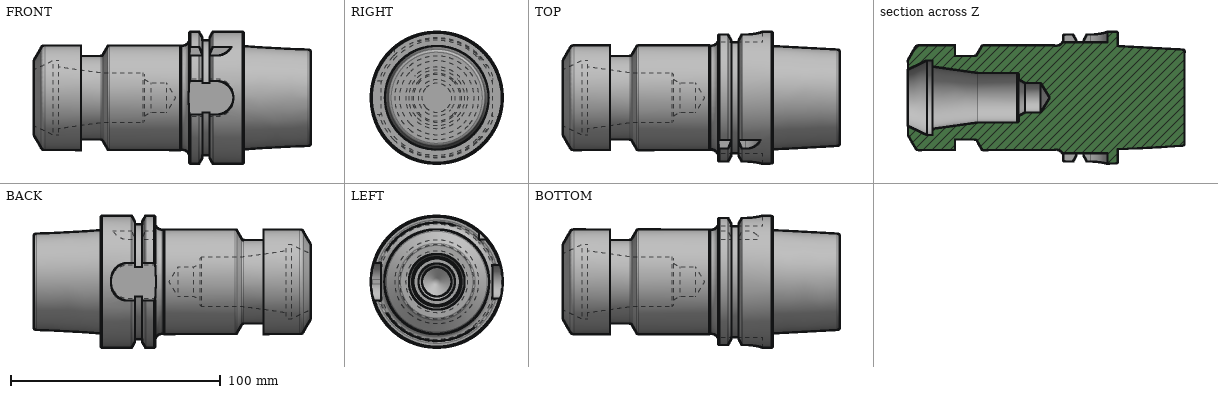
import cadquery as cq
import math


TOTAL_LENGTH = 132.0
BODY_RADIUS = 50.0 / 2
BEVEL_RUN_PER_RISE = math.tan(math.radians(30))

NUT_FACE_RADIUS = 17.8
NUT_LENGTH = 22.6
NUT_BLEND = 2.0

NECK_RADIUS = 40.0 / 2
NECK_END = 32.6
NECK_BLEND = 1.0

FLANGE_RADIUS = 63.0 / 2
FLANGE_START = 74.0
FLANGE_END = 100.0
FLANGE_CHAMFER = 0.5
FLANGE_INNER_BLEND = 3.3

RELIEF_DEPTH = 0.1
RELIEF_LENGTH = 1.2
RELIEF_RAMP = 0.4

GROOVE_FLOOR_RADIUS = 27.5
GROOVE_WALL_RADIUS = 28.6
GROOVE_START = 80.4
GROOVE_END = 83.7
GROOVE_EDGE_BLEND = 0.4

SHANK_RADIUS = 24.7
SHANK_END_RADIUS = 23.0
SHANK_BLEND = 1.3

MOUTH_RADIUS = 13.3
NUT_CAVITY_RADIUS = 17.7
NUT_CONE_LENGTH = 9.1
SEAT_FACE = 11.7
SEAT_RADIUS = 14.8
SEAT_SLOPE = math.tan(math.radians(8))
BORE_RADIUS = 23.5 / 2
BORE_END = 52.8
BORE_END_CHAMFER = 0.7

DRILL_RADIUS = 14.0 / 2
DRILL_DEPTH = 10.5
DRILL_POINT_SLOPE = math.tan(math.radians(59))
COUNTERSINK_RADIUS = 8.7
COUNTERSINK_SLOPE = math.tan(math.radians(30))

CUTTER_RADIUS = 16.0 / 2
CUTTER_STOP = 87.1
SLOT_FLOOR = 26.5
WIDE_SLOT_WIDTH = 18.0
NOTCH_OFFSET = 20.0
SLOT_START = 59.4
CUT_REACH = 39.6


def revolve(profile):
    """Close a half profile and turn it once around the X axis."""
    return profile.close().revolve(360, (0, 0, 0), (1, 0, 0))


def turned_section(points):
    """Solid of revolution of a straight-sided outline that starts and ends on the axis."""
    return revolve(cq.Workplane("XY").polyline(points))


def circle_edges(solid, x, radius):
    """Circular edges of the given radius centred on the axis at x."""
    size = 0.01
    box = cq.selectors.BoxSelector(
        (x - size, -radius - size, -radius - size),
        (x + size, radius + size, radius + size),
    )
    ring_edges = [e for e in solid.edges(box).vals() if abs(e.radius() - radius) < size]
    return solid.newObject(ring_edges)


def make_nut():
    bevel_end = (BODY_RADIUS - NUT_FACE_RADIUS) * BEVEL_RUN_PER_RISE
    nut = turned_section([
        (0, 0),
        (0, NUT_FACE_RADIUS),
        (bevel_end, BODY_RADIUS),
        (NUT_LENGTH, BODY_RADIUS),
        (NUT_LENGTH, 0),
    ])
    nut = circle_edges(nut, 0, NUT_FACE_RADIUS).fillet(NUT_BLEND)
    return circle_edges(nut, bevel_end, BODY_RADIUS).fillet(NUT_BLEND)


def make_body():
    bevel_end = NECK_END + (BODY_RADIUS - NECK_RADIUS) * BEVEL_RUN_PER_RISE
    relief_radius = BODY_RADIUS - RELIEF_DEPTH
    relief_face = FLANGE_START + RELIEF_DEPTH
    blend_start = relief_face - FLANGE_INNER_BLEND
    relief_start = blend_start - RELIEF_LENGTH
    blend_outer = relief_radius + FLANGE_INNER_BLEND
    groove_run = (FLANGE_RADIUS - GROOVE_WALL_RADIUS) * BEVEL_RUN_PER_RISE
    chamfer_radius = FLANGE_RADIUS - FLANGE_CHAMFER
    arc_shift = FLANGE_INNER_BLEND * math.sin(math.radians(45))

    profile = (
        cq.Workplane("XY")
        .moveTo(NUT_LENGTH, 0)
        .lineTo(NUT_LENGTH, NECK_RADIUS)
        .lineTo(NECK_END, NECK_RADIUS)
        .lineTo(bevel_end, BODY_RADIUS)
        .lineTo(relief_start, BODY_RADIUS)
        .lineTo(relief_start + RELIEF_RAMP, relief_radius)
        .lineTo(blend_start, relief_radius)
        .threePointArc(
            (blend_start + arc_shift, blend_outer - arc_shift),
            (relief_face, blend_outer),
        )
        .lineTo(FLANGE_START, blend_outer + RELIEF_LENGTH)
        .lineTo(FLANGE_START, chamfer_radius)
        .lineTo(FLANGE_START + FLANGE_CHAMFER, FLANGE_RADIUS)
        .lineTo(GROOVE_START - groove_run, FLANGE_RADIUS)
        .lineTo(GROOVE_START, GROOVE_WALL_RADIUS)
        .lineTo(GROOVE_START, GROOVE_FLOOR_RADIUS)
        .lineTo(GROOVE_END, GROOVE_FLOOR_RADIUS)
        .lineTo(GROOVE_END, GROOVE_WALL_RADIUS)
        .lineTo(GROOVE_END + groove_run, FLANGE_RADIUS)
        .lineTo(FLANGE_END - FLANGE_CHAMFER, FLANGE_RADIUS)
        .lineTo(FLANGE_END, chamfer_radius)
        .lineTo(FLANGE_END, 0)
    )
    body = revolve(profile)
    for x, radius in ((NECK_END, NECK_RADIUS), (bevel_end, BODY_RADIUS)):
        body = circle_edges(body, x, radius).fillet(NECK_BLEND)
    for x in (GROOVE_START - groove_run, GROOVE_END + groove_run):
        body = circle_edges(body, x, FLANGE_RADIUS).fillet(GROOVE_EDGE_BLEND)
    return body


def make_shank():
    shank = turned_section([
        (FLANGE_END, 0),
        (FLANGE_END, SHANK_RADIUS),
        (TOTAL_LENGTH, SHANK_END_RADIUS),
        (TOTAL_LENGTH, 0),
    ])
    return circle_edges(shank, TOTAL_LENGTH, SHANK_END_RADIUS).fillet(SHANK_BLEND)


def make_bore():
    seat_end = SEAT_FACE + (SEAT_RADIUS - BORE_RADIUS) / SEAT_SLOPE
    countersink_end = BORE_END + (COUNTERSINK_RADIUS - DRILL_RADIUS) / COUNTERSINK_SLOPE
    drill_end = BORE_END + DRILL_DEPTH
    return turned_section([
        (0, 0),
        (0, MOUTH_RADIUS),
        (NUT_CONE_LENGTH, NUT_CAVITY_RADIUS),
        (SEAT_FACE, NUT_CAVITY_RADIUS),
        (SEAT_FACE, SEAT_RADIUS),
        (seat_end, BORE_RADIUS),
        (BORE_END - BORE_END_CHAMFER, BORE_RADIUS),
        (BORE_END, BORE_RADIUS - BORE_END_CHAMFER),
        (BORE_END, COUNTERSINK_RADIUS),
        (countersink_end, DRILL_RADIUS),
        (drill_end, DRILL_RADIUS),
        (drill_end + DRILL_RADIUS / DRILL_POINT_SLOPE, 0),
    ])


def make_narrow_slot():
    """Flat-floored drive slot on the -Y side, one cutter wide with a half-round end."""
    length = CUTTER_STOP + CUTTER_RADIUS - SLOT_START
    return (
        cq.Workplane("XZ", origin=(0, -SLOT_FLOOR, 0))
        .center(SLOT_START + length / 2, 0)
        .slot2D(length, 2 * CUTTER_RADIUS)
        .extrude(CUT_REACH - SLOT_FLOOR)
    )


def make_wide_slot():
    """Flat-floored drive slot on the +Y side, wider than the cutter that rounds its end corners."""
    length = CUTTER_STOP + CUTTER_RADIUS - SLOT_START
    return (
        cq.Workplane("XZ", origin=(0, CUT_REACH, 0))
        .center(SLOT_START + length / 2, 0)
        .rect(length, WIDE_SLOT_WIDTH)
        .extrude(CUT_REACH - SLOT_FLOOR)
        .edges("|Y and >X")
        .fillet(CUTTER_RADIUS)
    )


def make_notch():
    """Corner notch on the -Y, +Z side whose floor curves up to the flange surface."""
    centre_height = NOTCH_OFFSET + CUTTER_RADIUS
    arc_shift = CUTTER_RADIUS * math.sin(math.radians(45))
    return (
        cq.Workplane("XZ", origin=(0, -NOTCH_OFFSET, 0))
        .moveTo(SLOT_START, NOTCH_OFFSET)
        .lineTo(CUTTER_STOP, NOTCH_OFFSET)
        .threePointArc(
            (CUTTER_STOP + arc_shift, centre_height - arc_shift),
            (CUTTER_STOP + CUTTER_RADIUS, centre_height),
        )
        .lineTo(CUTTER_STOP + CUTTER_RADIUS, CUT_REACH)
        .lineTo(SLOT_START, CUT_REACH)
        .close()
        .extrude(CUT_REACH - NOTCH_OFFSET)
    )


result = (
    make_body()
    .union(make_nut())
    .union(make_shank())
    .cut(make_bore())
    .cut(make_narrow_slot())
    .cut(make_wide_slot())
    .cut(make_notch())
)